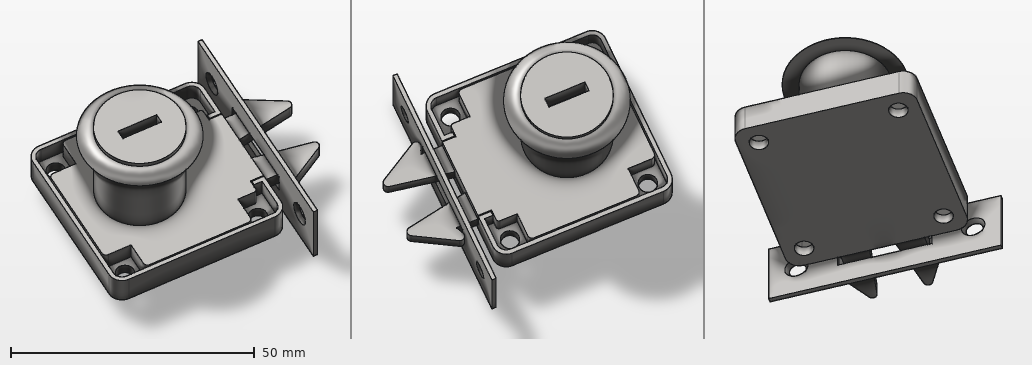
import cadquery as cq
import math


housing_width = 39.0
housing_front_y = -16.0
housing_back_y = 24.0
housing_height = 6.55
housing_corner_radius = 3.0
wall = 1.0
floor_thickness = 2.5
screw_hole_diameter = 4.0
screw_hole_inset = 4.5
housing_length = housing_back_y - housing_front_y
housing_center_y = (housing_back_y + housing_front_y) / 2

body_clearance = 0.3
neck_width = 18.0
neck_clearance = 0.2
shoulder_width = 23.8
shoulder_y = 20.95
cross_back_y = 16.45
cross_front_y = -8.45
body_corner_radius = 1.0
shoulder_corner_radius = 0.65
body_half_width = housing_width / 2 - wall - body_clearance
body_front_y = housing_front_y + wall + body_clearance

cylinder_diameter = 19.0
rosette_diameter = 26.0
panel_gap = 18.0
rosette_height = 2.0
cylinder_lip = 1.0
keyway_width = 2.1
keyway_length = 9.0
keyway_depth = 5.0
rosette_bottom_z = housing_height + panel_gap
rosette_top_z = rosette_bottom_z + rosette_height
cylinder_top_z = rosette_top_z + cylinder_lip

plate_width = 50.0
plate_height = 15.0
plate_thickness = 1.0
plate_bottom_z = -4.2
plate_front_y = 27.0
plate_hole_diameter = 3.6
plate_sink_diameter = 5.0
plate_hole_inset = 6.0
slot_side_clearance = 1.15
slot_height_clearance = 0.65
plate_back_y = plate_front_y + plate_thickness
plate_center_z = plate_bottom_z + plate_height / 2

overall_length = 54.5
hook_thickness = 3.0
hook_nose_radius = 1.0
hook_tip_x = 6.0
hook_barb_x = 11.0
hook_lean = math.radians(10.3)
barb_slope = math.radians(25)
hook_outer_x = neck_width / 2
hook_bottom_z = (housing_height - hook_thickness) / 2
hook_tip_y = housing_front_y + overall_length - hook_nose_radius
hook_barb_y = plate_back_y + hook_nose_radius


def block(x_range, y_range, z_range):
    """Box given by its limits along each axis."""
    (x0, x1), (y0, y1), (z0, z1) = x_range, y_range, z_range
    return cq.Workplane("XY").box(x1 - x0, y1 - y0, z1 - z0, centered=False).translate((x0, y0, z0))


def make_housing():
    """Open tray whose back wall turns inward on both sides of the lock body's neck."""
    tray = (
        cq.Workplane("XY")
        .center(0, housing_center_y)
        .rect(housing_width, housing_length)
        .extrude(housing_height)
        .edges("|Z")
        .fillet(housing_corner_radius)
    )
    pocket = (
        cq.Workplane("XY", origin=(0, housing_center_y, floor_thickness))
        .rect(housing_width - 2 * wall, housing_length - 2 * wall)
        .extrude(housing_height - floor_thickness)
        .edges("|Z")
        .fillet(housing_corner_radius - wall)
    )
    opening = neck_width / 2 + neck_clearance
    tab_outer = opening + wall
    tab_end_y = shoulder_y + neck_clearance
    depth = (floor_thickness, housing_height)
    tabs = block((-tab_outer, tab_outer), (tab_end_y, housing_back_y), depth)
    throat = block((-opening, opening), (tab_end_y, housing_back_y), depth)
    tray = tray.cut(pocket).union(tabs).cut(throat)

    hole_spacing_x = housing_width - 2 * screw_hole_inset
    hole_spacing_y = housing_length - 2 * screw_hole_inset
    screw_holes = (
        cq.Workplane("XY")
        .center(0, housing_center_y)
        .rect(hole_spacing_x, hole_spacing_y, forConstruction=True)
        .vertices()
        .circle(screw_hole_diameter / 2)
        .extrude(housing_height)
    )
    return tray.cut(screw_holes)


def make_lock_body():
    """Cross-shaped case on the tray floor, carrying the key cylinder and its rosette."""
    depth = (floor_thickness, housing_height)
    half_shoulder = shoulder_width / 2
    stem = block((-half_shoulder, half_shoulder), (body_front_y, shoulder_y), depth)
    stem = stem.edges("|Z and <Y").fillet(body_corner_radius)
    stem = stem.edges("|Z and >Y").fillet(shoulder_corner_radius)
    cross = block((-body_half_width, body_half_width), (cross_front_y, cross_back_y), depth)
    cross = cross.edges("|Z").fillet(body_corner_radius)
    neck = block((-neck_width / 2, neck_width / 2), (cross_back_y, housing_back_y), depth)
    return stem.union(cross).union(neck).union(make_cylinder())


def make_cylinder():
    """Key cylinder revolved with a domed rosette near its top, and a blind keyway."""
    radius = cylinder_diameter / 2
    rosette_radius = rosette_diameter / 2
    overhang = rosette_radius - radius
    dome_radius = (overhang**2 + rosette_height**2) / (2 * rosette_height)
    half_sweep = math.asin(overhang / dome_radius) / 2
    dome_middle = (
        radius + dome_radius * math.sin(half_sweep),
        rosette_top_z - dome_radius * (1 - math.cos(half_sweep)),
    )
    cylinder = (
        cq.Workplane("XZ")
        .moveTo(0, housing_height)
        .lineTo(radius, housing_height)
        .lineTo(radius, rosette_bottom_z)
        .lineTo(rosette_radius, rosette_bottom_z)
        .threePointArc(dome_middle, (radius, rosette_top_z))
        .lineTo(radius, cylinder_top_z)
        .lineTo(0, cylinder_top_z)
        .close()
        .revolve(360, (0, 0, 0), (0, 1, 0))
    )
    keyway = (
        cq.Workplane("XY", origin=(0, 0, cylinder_top_z - keyway_depth))
        .rect(keyway_width, keyway_length)
        .extrude(keyway_depth)
    )
    return cylinder.cut(keyway)


def make_strike_plate():
    """Plate with one slot for both hooks and a countersunk screw hole near each end."""
    thickness = (plate_front_y, plate_back_y)
    plate = block(
        (-plate_width / 2, plate_width / 2), thickness, (plate_bottom_z, plate_bottom_z + plate_height)
    )
    slot_half_width = hook_outer_x + slot_side_clearance
    slot_bottom_z = hook_bottom_z - slot_height_clearance
    slot_top_z = hook_bottom_z + hook_thickness + slot_height_clearance
    slot = block((-slot_half_width, slot_half_width), thickness, (slot_bottom_z, slot_top_z))
    plate = plate.cut(slot)
    for side in (-1, 1):
        hole_x = side * (plate_width / 2 - plate_hole_inset)
        sink = cq.Solid.makeCone(
            plate_sink_diameter / 2,
            plate_hole_diameter / 2,
            plate_thickness,
            pnt=cq.Vector(hole_x, plate_front_y, plate_center_z),
            dir=cq.Vector(0, 1, 0),
        )
        plate = plate.cut(cq.Workplane(obj=sink))
    return plate


def make_hook(side):
    """Barbed hook on the end face of the neck: 1 builds the right one, -1 its mirror image."""

    def on_nose(center_x, center_y, angle):
        return (
            center_x + hook_nose_radius * math.cos(angle),
            center_y + hook_nose_radius * math.sin(angle),
        )

    underside = -math.pi / 2 - barb_slope
    flank = math.pi / 2 - math.atan2(hook_tip_y - hook_barb_y, hook_barb_x - hook_tip_x)
    inner = math.pi - hook_lean

    barb_start = on_nose(hook_barb_x, hook_barb_y, underside)
    barb_middle = on_nose(hook_barb_x, hook_barb_y, (underside + flank) / 2)
    barb_end = on_nose(hook_barb_x, hook_barb_y, flank)
    tip_start = on_nose(hook_tip_x, hook_tip_y, flank)
    tip_top = (hook_tip_x, hook_tip_y + hook_nose_radius)
    tip_end = on_nose(hook_tip_x, hook_tip_y, inner)
    notch_y = barb_start[1] + (barb_start[0] - hook_outer_x) * math.tan(barb_slope)
    inner_base_x = tip_end[0] - (tip_end[1] - housing_back_y) * math.tan(hook_lean)

    hook = (
        cq.Workplane("XY", origin=(0, 0, hook_bottom_z))
        .moveTo(inner_base_x, housing_back_y)
        .lineTo(hook_outer_x, housing_back_y)
        .lineTo(hook_outer_x, notch_y)
        .lineTo(*barb_start)
        .threePointArc(barb_middle, barb_end)
        .lineTo(*tip_start)
        .threePointArc(tip_top, tip_end)
        .close()
        .extrude(hook_thickness)
    )
    return hook if side > 0 else hook.mirror("YZ")


housing = make_housing()
lock_body = make_lock_body()
strike_plate = make_strike_plate()
hooks = [make_hook(side) for side in (-1, 1)]

result = cq.Compound.makeCompound(
    [housing.val(), lock_body.val(), strike_plate.val(), *[hook.val() for hook in hooks]]
)